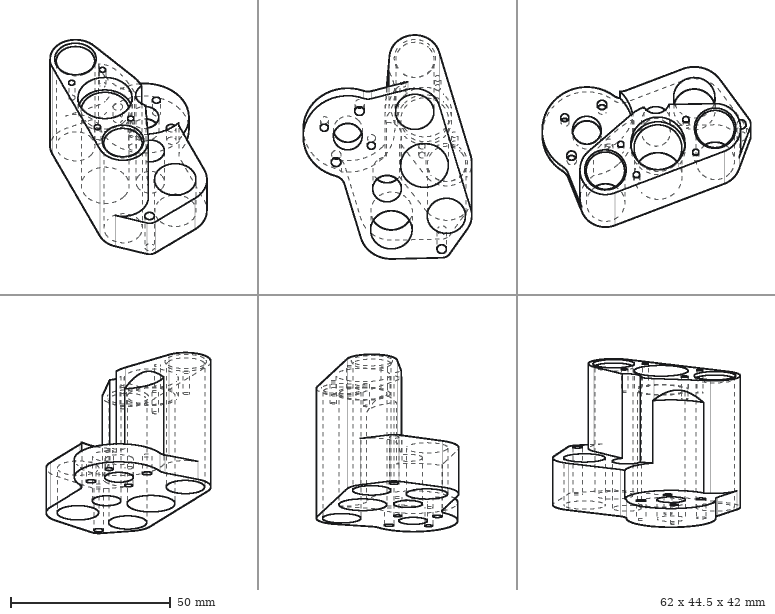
import cadquery as cq
import math

LENGTH = 62

PLATE_TOP = 6.0
STEP_TOP = 15.0
CLEARANCE_TOP = 34.95
TOWER_TOP = 42.0

END_RADIUS = 8.0
END_OFFSET = 18.5
CENTRE_RADIUS = 12.5
END_BORE = 12.0
END_MOUTH = 13
MOUTH_DEPTH = 1.0
CENTRE_BORE = 15.0
CENTRE_MOUTH = 17.0
CENTRE_MOUTH_DEPTH = 6.0
LEFT_END = (-END_OFFSET, END_RADIUS)
RIGHT_END = (END_OFFSET, END_RADIUS)
CENTRE = (0, 10.0)

SCREW_DIAMETER = 2.0
SCREW_DEPTH = TOWER_TOP - CLEARANCE_TOP
SCREW_OFFSETS = ((11.0, 3.95), (10.0, -7.0))

FLANGE = (-15.9, 30.5)
FLANGE_RADIUS = 14.0
FLANGE_BLEND = 4.0
CLEARANCE_RADIUS = 14.7
CLEARANCE_TIP_RADIUS = 10.0
SHAFT_BORE = 9.0
FLANGE_HOLES = ((3.0, 9.5, 38.4), (2.5, 8.0, 128.1))

REAR_RADIUS = 10.0
REAR_BORE = 13
REAR = (END_OFFSET, 25.9)
REAR_EDGE = REAR[1] + REAR_RADIUS
IDLER_BORE = 9.0
IDLER = (4.5, 23.4)
LUG_DIAMETER = 6.0
LUG_HOLE = 3.0
LUG = (FLANGE[0] - FLANGE_RADIUS + LENGTH - LUG_DIAMETER / 2, 12.45)
LEFT_EDGE = -END_OFFSET - END_RADIUS


def cylinder(centre, diameter, bottom, top):
    base = cq.Workplane("XY").workplane(offset=bottom).center(*centre)
    return base.circle(diameter / 2).extrude(top - bottom)


def tangent_points(start, start_radius, end, end_radius):
    """Ends of the outer tangent on the right-hand side when going from start to end."""
    dx = end[0] - start[0]
    dy = end[1] - start[1]
    tilt = math.asin((start_radius - end_radius) / math.hypot(dx, dy))
    angle = math.atan2(dy, dx) - math.pi / 2 + tilt
    return [
        (centre[0] + radius * math.cos(angle), centre[1] + radius * math.sin(angle))
        for centre, radius in ((start, start_radius), (end, end_radius))
    ]


def hull(circles, bottom, top):
    """Prism wrapped tightly around circles listed counter-clockwise."""
    points = []
    for (start, start_radius), (end, end_radius) in zip(circles, circles[1:] + circles[:1]):
        points += tangent_points(start, start_radius, end, end_radius)
    body = cq.Workplane("XY").workplane(offset=bottom).polyline(points).close().extrude(top - bottom)
    for centre, radius in circles:
        body = body.union(cylinder(centre, 2 * radius, bottom, top))
    return body


def flange_touch_point(blend_centre):
    """Point where a blend arc touches the flange circle."""
    dx = blend_centre[0] - FLANGE[0]
    dy = blend_centre[1] - FLANGE[1]
    share = FLANGE_RADIUS / math.hypot(dx, dy)
    return (FLANGE[0] + share * dx, FLANGE[1] + share * dy)


def make_corner_block(height):
    """Block with a square rear left corner and the lug on its right side."""
    rounded = hull(
        [
            (LEFT_END, END_RADIUS),
            (RIGHT_END, END_RADIUS),
            (LUG, LUG_DIAMETER / 2),
            (REAR, REAR_RADIUS),
        ],
        0,
        height,
    )
    corner = cq.Workplane("XY").polyline(
        [LEFT_END, REAR, (REAR[0], REAR_EDGE), (LEFT_EDGE, REAR_EDGE), (LEFT_EDGE, LEFT_END[1])]
    ).close().extrude(height)
    return rounded.union(corner)


def make_body(height):
    """Base outline with the flange blended into its rear left corner."""
    reach = FLANGE_RADIUS + FLANGE_BLEND
    rear_y = REAR_EDGE + FLANGE_BLEND
    rear_blend = (FLANGE[0] + math.sqrt(reach**2 - (rear_y - FLANGE[1]) ** 2), rear_y)
    left_x = LEFT_EDGE - FLANGE_BLEND
    left_blend = (left_x, FLANGE[1] - math.sqrt(reach**2 - (left_x - FLANGE[0]) ** 2))

    body = make_corner_block(height)
    corner = cq.Workplane("XY").rect(2 * reach, 2 * reach).extrude(height)
    corner = corner.translate((LEFT_EDGE - reach, REAR_EDGE + reach, 0))
    body = body.cut(corner)
    body = body.union(cylinder(FLANGE, 2 * FLANGE_RADIUS, 0, height))
    for blend, edge_point in (
        (rear_blend, (rear_blend[0], REAR_EDGE)),
        (left_blend, (LEFT_EDGE, left_blend[1])),
    ):
        web = cq.Workplane("XY").polyline([FLANGE, flange_touch_point(blend), blend, edge_point])
        web = web.close().extrude(height)
        body = body.union(web.cut(cylinder(blend, 2 * FLANGE_BLEND, 0, height)))
    return body


def make_step():
    """Raised rear block to the right of the flange centre."""
    length = LUG[0] + LUG_DIAMETER - FLANGE[0]
    depth = REAR_EDGE + FLANGE_BLEND
    right_side = cq.Workplane("XY").box(length, depth, STEP_TOP, centered=False)
    return make_body(STEP_TOP).intersect(right_side.translate((FLANGE[0], 0, 0)))


def make_clearance():
    """Motor clearance: a cylinder with a tapered roof."""
    cone_height = TOWER_TOP - CLEARANCE_TOP
    cone = cq.Solid.makeCone(
        CLEARANCE_RADIUS, CLEARANCE_TIP_RADIUS, cone_height, cq.Vector(*FLANGE, CLEARANCE_TOP)
    )
    return cylinder(FLANGE, 2 * CLEARANCE_RADIUS, PLATE_TOP, CLEARANCE_TOP).union(cq.Workplane(cone))


def cut_tower_bores(body):
    for end in (LEFT_END, RIGHT_END):
        body = body.cut(cylinder(end, END_BORE, 0, TOWER_TOP))
        mouth = cq.Solid.makeCone(
            END_BORE / 2, END_MOUTH / 2, MOUTH_DEPTH, cq.Vector(*end, TOWER_TOP - MOUTH_DEPTH)
        )
        body = body.cut(cq.Workplane(mouth))
    body = body.cut(cylinder(CENTRE, CENTRE_BORE, 0, TOWER_TOP))
    body = body.cut(cylinder(CENTRE, CENTRE_MOUTH, TOWER_TOP - CENTRE_MOUTH_DEPTH, TOWER_TOP))
    for dx, dy in SCREW_OFFSETS:
        for side in (-1, 1):
            place = (CENTRE[0] + side * dx, CENTRE[1] + dy)
            body = body.cut(cylinder(place, SCREW_DIAMETER, TOWER_TOP - SCREW_DEPTH, TOWER_TOP))
    return body


def cut_base_holes(body):
    for place, diameter in ((REAR, REAR_BORE), (IDLER, IDLER_BORE), (LUG, LUG_HOLE)):
        body = body.cut(cylinder(place, diameter, 0, TOWER_TOP))
    body = body.cut(cylinder(FLANGE, SHAFT_BORE, 0, PLATE_TOP))
    for diameter, distance, degrees in FLANGE_HOLES:
        dx = distance * math.cos(math.radians(degrees))
        dy = distance * math.sin(math.radians(degrees))
        for side in (-1, 1):
            place = (FLANGE[0] + side * dx, FLANGE[1] + side * dy)
            body = body.cut(cylinder(place, diameter, 0, PLATE_TOP))
    return body


def make_tower():
    """Wrapped tower with its centre circle trimmed flush with the flat front face."""
    circles = [(LEFT_END, END_RADIUS), (RIGHT_END, END_RADIUS), (CENTRE, CENTRE_RADIUS)]
    wrapped = hull(circles, 0, TOWER_TOP)
    behind_front = cq.Workplane("XY").box(LENGTH, REAR_EDGE, TOWER_TOP, centered=(True, False, False))
    return wrapped.intersect(behind_front)


upper = make_step().union(make_tower()).cut(make_clearance())
result = cut_base_holes(cut_tower_bores(make_body(PLATE_TOP).union(upper)))